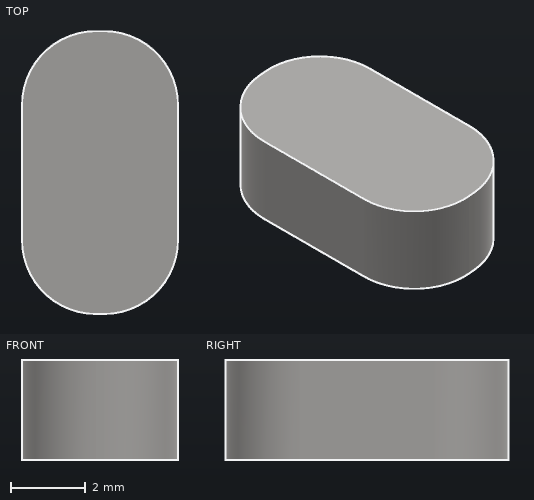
import cadquery as cq

length = 7.62
width = 4.21
height = 2.7

corner_radius = 2.0


def make_block():
    """Plain block with its four upright corners rounded."""
    return cq.Workplane("XY").box(width, length, height).edges("|Z").fillet(corner_radius)


block = make_block()

result = cq.Compound.makeCompound([block.val()])